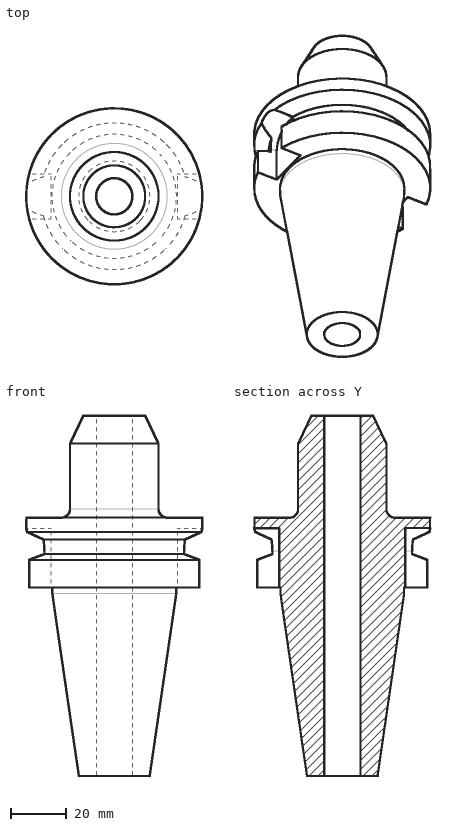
import cadquery as cq
import math

total_height = 128.9
gauge_height = 65.4
flange_bottom = 67.4
lower_rim_top = 77.3
groove_bottom = 79.4
groove_top = 84.5
upper_rim_bottom = 87.3
flange_top = 92.4
nose_cone_bottom = 118.8

flange_diameter = 63.0
flange_radius = flange_diameter / 2
gauge_diameter = 44.5
gauge_radius = gauge_diameter / 2
groove_radius = 26.3
nose_radius = 15.9
nose_tip_radius = 11.1
bore_radius = 6.5
nose_fillet = 3.1

taper_ratio = 7 / 24
small_end_radius = gauge_radius - gauge_height * taper_ratio / 2

slot_width = 16.1
slot_top = 88.5
slot_floor = 22.5


def turned_body():
    """Tapered shank, grooved flange and nose revolved about Z."""
    arc_offset = nose_fillet * (1 - math.sqrt(0.5))
    profile = (
        cq.Workplane("XZ")
        .moveTo(bore_radius, 0)
        .lineTo(small_end_radius, 0)
        .lineTo(gauge_radius, gauge_height)
        .lineTo(gauge_radius, flange_bottom)
        .lineTo(flange_radius, flange_bottom)
        .lineTo(flange_radius, lower_rim_top)
        .lineTo(groove_radius, groove_bottom)
        .lineTo(groove_radius, groove_top)
        .lineTo(flange_radius, upper_rim_bottom)
        .lineTo(flange_radius, flange_top)
        .lineTo(nose_radius + nose_fillet, flange_top)
        .threePointArc(
            (nose_radius + arc_offset, flange_top + arc_offset),
            (nose_radius, flange_top + nose_fillet),
        )
        .lineTo(nose_radius, nose_cone_bottom)
        .lineTo(nose_tip_radius, total_height)
        .lineTo(bore_radius, total_height)
        .close()
    )
    return profile.revolve(360, (0, 0, 0), (0, 1, 0))


def drive_slot(side):
    """Round-topped slot cutter; side is -1 or +1 along X."""
    half_width = slot_width / 2
    arc_start = slot_top - half_width
    return (
        cq.Workplane("YZ", origin=(side * slot_floor, 0, 0))
        .moveTo(-half_width, flange_bottom)
        .lineTo(half_width, flange_bottom)
        .lineTo(half_width, arc_start)
        .threePointArc((0, slot_top), (-half_width, arc_start))
        .close()
        .extrude(side * flange_radius)
    )


result = turned_body()
for side in (-1, 1):
    result = result.cut(drive_slot(side))